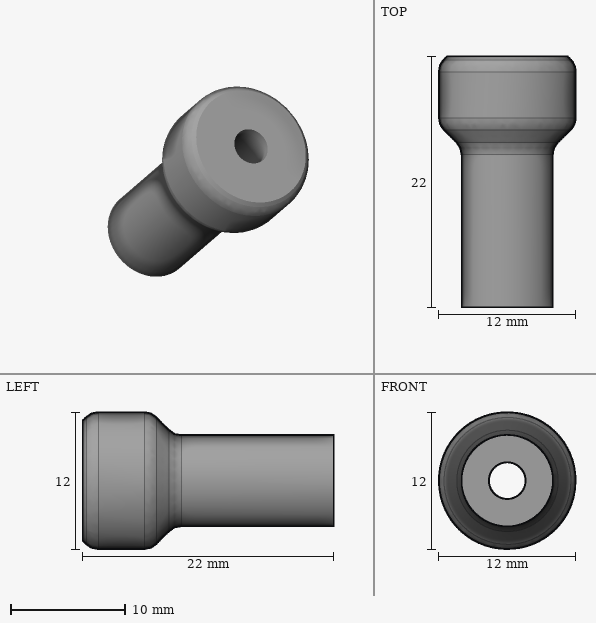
import cadquery as cq

length = 22.0
head_diameter = 12.0
shaft_diameter = 8.0
bore_diameter = 3.2
head_length = 6.0
end_chamfer = 0.75
blend_radius = 1.5

head_radius = head_diameter / 2
shaft_radius = shaft_diameter / 2
shoulder_length = head_radius - shaft_radius

shoulder_top = length - head_length
shoulder_bottom = shoulder_top - shoulder_length
chamfer_start = length - end_chamfer


def turned_body():
    """Solid shaft and head with sharp corners."""
    return (
        cq.Workplane("XY")
        .lineTo(shaft_radius, 0)
        .lineTo(shaft_radius, shoulder_bottom)
        .lineTo(head_radius, shoulder_top)
        .lineTo(head_radius, chamfer_start)
        .lineTo(head_radius - end_chamfer, length)
        .lineTo(0, length)
        .close()
        .revolve(360, (0, 0, 0), (0, 1, 0))
    )


def blend_corners(body):
    """Round both ends of the shoulder and the inner corner of the end chamfer."""
    blend_positions = (shoulder_bottom, shoulder_top, chamfer_start)
    corners = body.edges("%CIRCLE").filter(
        lambda edge: any(abs(edge.Center().y - y) < 0.002 for y in blend_positions)
    )
    return corners.fillet(blend_radius)


def through_bore():
    """Cutter for the central hole, running the full length along +Y."""
    return cq.Workplane("XZ").circle(bore_diameter / 2).extrude(-length)


result = blend_corners(turned_body()).cut(through_bore())